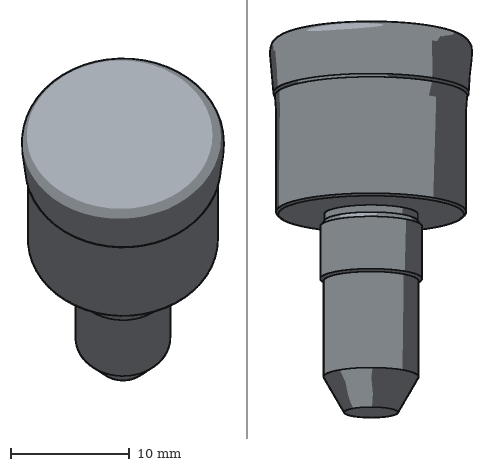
import cadquery as cq

total_height = 32.0
tip_height = 3.05
collar_bottom = 11.25
collar_top = 16.1
collar_chamfer_height = 0.2
neck_bottom = 16.4
shoulder_height = 17.0
flare_start = 25.9
step_bottom = 27.15
step_top = 27.4
rim_bottom = 30.53

tip_radius = 2.27
pin_radius = 4.0
collar_radius = 4.3
collar_edge = 0.15
neck_radius = 3.95
body_radius = 8.0
body_chamfer = 0.2
flare_radius = 8.1
head_radius = 8.22
rim_radius = 8.495
rim_fillet = 1.0


def revolve_outline(points):
    """Turn a half outline of (radius, height) points about the Z axis."""
    return cq.Workplane("XZ").polyline(points).close().revolve(360, (0, 0), (0, 1))


pin = revolve_outline([
    (0, 0),
    (tip_radius, 0),
    (pin_radius, tip_height),
    (pin_radius, collar_bottom),
    (collar_radius, collar_bottom + collar_chamfer_height),
    (collar_radius, collar_top - collar_edge),
    (collar_radius - collar_edge, collar_top),
    (neck_radius, neck_bottom),
    (neck_radius, shoulder_height),
    (0, shoulder_height),
])

head = revolve_outline([
    (0, shoulder_height),
    (body_radius - body_chamfer, shoulder_height),
    (body_radius, shoulder_height + body_chamfer),
    (body_radius, flare_start),
    (flare_radius, step_bottom),
    (head_radius, step_top),
    (rim_radius, rim_bottom),
    (rim_radius, total_height),
    (0, total_height),
]).faces(">Z").edges().fillet(rim_fillet)

result = pin.union(head)